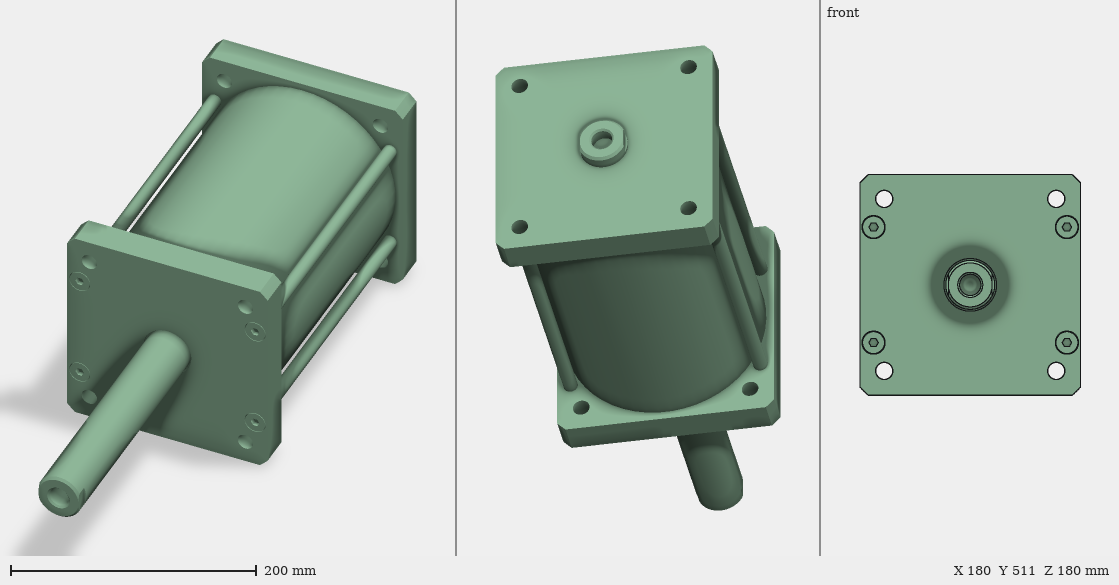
import cadquery as cq
import math

length = 511.0
front_y = -length / 2
rear_y = length / 2

plate_size = 180.0
plate_thickness = 26.5
plate_turned_diameter = 245.0
rear_stub = 12.0
tube_length = 235.0
tube_diameter = 167.0
rear_plate_y = rear_y - rear_stub - plate_thickness
front_plate_y = rear_plate_y - tube_length - plate_thickness

mount_hole_diameter = 14.0
mount_hole_offset = 70.0

rod_diameter = 12.0
rod_x = 78.5
rod_z = 47.0
head_diameter = 18.0
head_recess_diameter = 19.0
head_depth = 7.5
socket_across_corners = 7.5
socket_depth = 4.0

shaft_diameter = 40.0
shaft_chamfer = 2.0
flat_width = 36.0
front_flat_length = 10.5
rear_flat_length = 9.0
gland_diameter = 43.0
gland_depth = 2.5
bore_diameter = 17.5
bore_mouth_diameter = 20.5
bore_depth = 30.5
drill_point_angle = 118.0


def cylinder(diameter, y, height, x=0.0, z=0.0):
    """Cylinder along +Y that starts at the given y."""
    return cq.Workplane(cq.Solid.makeCylinder(
        diameter / 2, height, cq.Vector(x, y, z), cq.Vector(0, 1, 0)))


def four_places(x, z):
    """Positions mirrored about both centre planes."""
    return [(sx * x, sz * z) for sx in (-1, 1) for sz in (-1, 1)]


def end_plate(y):
    """Square plate with turned corners and four mounting holes, front face at y."""
    plate = (cq.Workplane("XY").box(plate_size, plate_thickness, plate_size)
             .translate((0, y + plate_thickness / 2, 0))
             .intersect(cylinder(plate_turned_diameter, y, plate_thickness)))
    for x, z in four_places(mount_hole_offset, mount_hole_offset):
        plate = plate.cut(cylinder(mount_hole_diameter, y, plate_thickness, x, z))
    return plate


def head_gap(x, z):
    """Thin clearance ring around a sunk rod head."""
    recess = cylinder(head_recess_diameter, front_plate_y, head_depth, x, z)
    return recess.cut(cylinder(head_diameter, front_plate_y, head_depth, x, z))


def hex_socket(x, z):
    return (cq.Workplane("XZ", origin=(x, front_plate_y, z))
            .polygon(6, socket_across_corners).extrude(-socket_depth))


def wrench_flats(y, flat_length):
    """Material outside the two wrench flats of a shaft end."""
    blank = cq.Workplane("XY").box(2 * shaft_diameter, flat_length, 2 * shaft_diameter)
    core = cq.Workplane("XY").box(flat_width, flat_length, 2 * shaft_diameter)
    return blank.cut(core).translate((0, y + flat_length / 2, 0))


def tapped_bore():
    """Bore profile at the front shaft end, revolved about the shaft axis."""
    bore_radius = bore_diameter / 2
    mouth_radius = bore_mouth_diameter / 2
    mouth_chamfer = mouth_radius - bore_radius
    point_depth = bore_radius / math.tan(math.radians(drill_point_angle / 2))
    return (cq.Workplane("XY")
            .moveTo(0, front_y)
            .lineTo(mouth_radius, front_y)
            .lineTo(bore_radius, front_y + mouth_chamfer)
            .lineTo(bore_radius, front_y + bore_depth)
            .lineTo(0, front_y + bore_depth + point_depth)
            .close()
            .revolve(360, (0, 0, 0), (0, 1, 0)))


def make_shaft():
    shaft = cylinder(shaft_diameter, front_y, length)
    shaft = shaft.faces("<Y or >Y").chamfer(shaft_chamfer)
    shaft = shaft.cut(wrench_flats(front_y, front_flat_length))
    shaft = shaft.cut(wrench_flats(rear_y - rear_flat_length, rear_flat_length))
    bore = tapped_bore()
    return shaft.cut(bore).cut(bore.mirror("XZ"))


result = end_plate(front_plate_y).union(end_plate(rear_plate_y))
inner_y = front_plate_y + plate_thickness
result = result.union(cylinder(tube_diameter, inner_y, tube_length))
for rod in four_places(rod_x, rod_z):
    result = result.union(cylinder(rod_diameter, inner_y, tube_length, *rod))
    result = result.cut(head_gap(*rod)).cut(hex_socket(*rod))

result = result.cut(cylinder(gland_diameter, front_plate_y, gland_depth))
result = result.union(make_shaft())